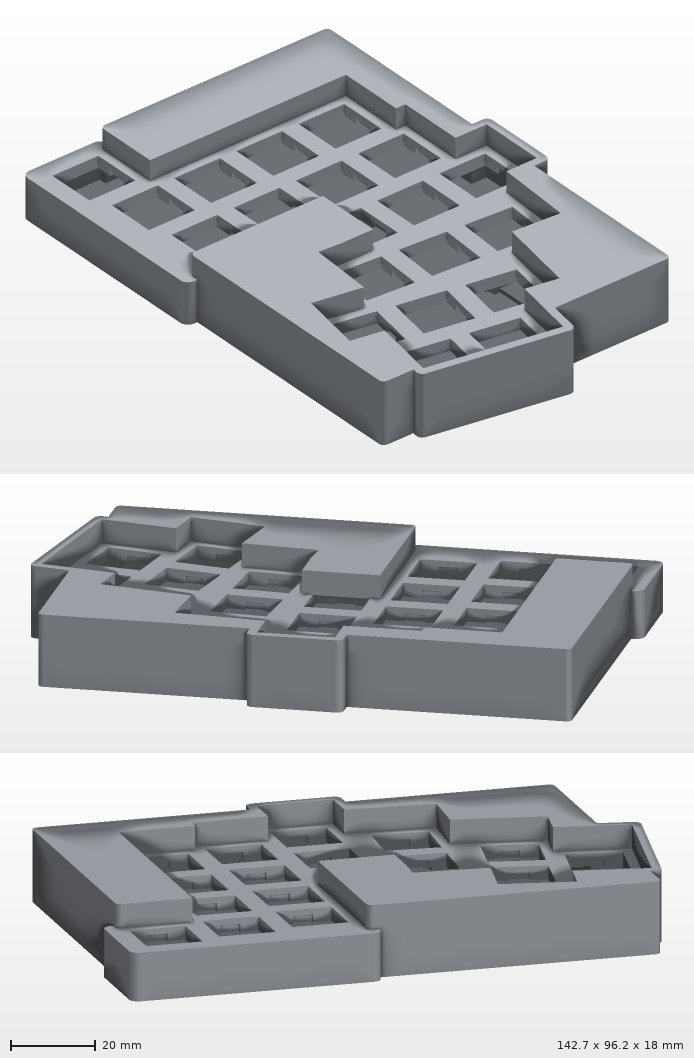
import cadquery as cq
import math

key_pitch = 19.0
key_hole = 14.0
small_stagger = 0.15 * key_pitch
large_stagger = 0.5 * key_pitch

thumb_wall = 2.7
frame_wall = 2.3

ring_centre = (89.6, 55.2)
ring_tilt = 4
little_centre = (108.9, 38.4)
little_tilt = 10

base_height = 3.0
plate_top = 12.0
plate_thickness = 3.4
plate_bottom = plate_top - plate_thickness
block_top = 18.0

block_left = 2.9
block_right = 132.6
block_front = 3.3
block_back = 91.2
block_wall = 2.0
tab_back = 43.8

block_radius = 1.4
frame_radius = 1.7
thumb_radius = 2.3

clip_width = 5.0
clip_depth = 1.0
clip_lip = 1.5

pocket_left = 98.2
pocket_front = 62.8
pocket_width = 18.0
pocket_back = pocket_front + pocket_width
pocket_depth = 1.1
groove_width = 4.0
groove_depth = 1.1
corner_relief = 2.1

middle_left = thumb_wall + 3 * key_pitch
middle_right = thumb_wall + 4 * key_pitch
thumb_back = thumb_wall + key_pitch


def box(x_range, y_range, z_range):
    """Box between pairs of X, Y and Z limits."""
    (x0, x1), (y0, y1), (z0, z1) = x_range, y_range, z_range
    return cq.Workplane("XY", origin=(x0, y0, z0)).box(x1 - x0, y1 - y0, z1 - z0, centered=False)


def joined(shapes):
    total = shapes[0]
    for shape in shapes[1:]:
        total = total.union(shape)
    return total.clean()


def offset_point(point, tilt, across, along):
    """Point moved across and along a column with the given tilt."""
    angle = math.radians(tilt)
    return (
        point[0] + across * math.cos(angle) + along * math.sin(angle),
        point[1] - across * math.sin(angle) + along * math.cos(angle),
    )


def key_column(start, tilt, steps):
    """Keys of one column, given as numbers of pitches behind its start point."""
    return [(*offset_point(start, tilt, 0, step * key_pitch), tilt) for step in steps]


def cell_corner(key, side, end):
    """Corner of a key cell: side is -1 for left and 1 for right, end is -1 for front and 1 for back."""
    x, y, tilt = key
    return offset_point((x, y), tilt, side * key_pitch / 2, end * key_pitch / 2)


thumb_x = thumb_wall + key_pitch / 2
thumb_y = thumb_wall + key_pitch / 2
pinky_y = thumb_y + small_stagger
index_y = pinky_y + small_stagger
middle_y = index_y + large_stagger
outer_centre = offset_point(little_centre, little_tilt, key_pitch, large_stagger)

thumb_keys = key_column((thumb_x, thumb_y), 0, [0])
pinky_keys = key_column((thumb_x + key_pitch, pinky_y), 0, [0, 1, 2, 3])
index_keys = key_column((thumb_x + 2 * key_pitch, index_y), 0, [0, 1, 2, 3])
middle_keys = key_column((thumb_x + 3 * key_pitch, middle_y), 0, [1, 2, 3])
ring_keys = key_column(ring_centre, ring_tilt, [-1, 0, 1])
little_keys = key_column(little_centre, little_tilt, [-1, 0, 1])
outer_keys = key_column(outer_centre, little_tilt, [-1, 0])
all_keys = thumb_keys + pinky_keys + index_keys + middle_keys + ring_keys + little_keys + outer_keys


def key_box(key, size_x, size_y, z_range):
    """Box centred on a key and turned with it."""
    x, y, tilt = key
    shape = box((-size_x / 2, size_x / 2), (-size_y / 2, size_y / 2), z_range)
    return shape.rotate((0, 0, 0), (0, 0, 1), -tilt).translate((x, y, 0))


def cells(keys, z_range):
    return [key_box(key, key_pitch, key_pitch, z_range) for key in keys]


def wedge(column, overlap, end_points, z_range):
    """Fills the gap on the left of a tilted column, from its back edge run on to the left."""
    back_left = cell_corner(column[-1], -1, 1)
    run_on = offset_point(back_left, column[-1][2], -overlap, 0)
    outline = cq.Workplane("XY", origin=(0, 0, z_range[0])).polyline([run_on, back_left, *end_points])
    return outline.close().extrude(z_range[1] - z_range[0])


def key_field(z_range):
    """All key cells, with the gaps between the tilted columns filled."""
    ring_end = [cell_corner(ring_keys[0], -1, -1)]
    little_end = [cell_corner(little_keys[0], -1, 1), cell_corner(ring_keys[0], 1, -1)]
    ring_wedge = wedge(ring_keys, key_pitch / 4, ring_end, z_range)
    little_wedge = wedge(little_keys, key_pitch / 2, little_end, z_range)
    return joined(cells(all_keys, z_range) + [ring_wedge, little_wedge])


def cavity(z_range):
    """Hollow inside the housing: the key field and the inside of the block."""
    inside_block = box(
        (block_left + block_wall, block_right - block_wall),
        (block_front + block_wall, block_back - block_wall),
        z_range,
    )
    return key_field(z_range).union(inside_block)


def housing_outside():
    block_outline = [
        (block_left, thumb_back),
        (middle_left, thumb_back),
        (middle_left, block_front),
        (block_right, block_front),
        (block_right, block_back),
        (block_left, block_back),
    ]
    block = cq.Workplane("XY").polyline(block_outline).close().extrude(block_top)
    block = block.edges("|Z").fillet(block_radius)
    thumb_corner = box((0, middle_left + thumb_wall), (0, thumb_back + thumb_wall), (0, plate_top))
    thumb_corner = thumb_corner.edges("|Z").fillet(thumb_radius)
    frame_size = key_pitch + 2 * frame_wall
    frames = [
        key_box(key, frame_size, frame_size, (0, block_top)).edges("|Z").fillet(frame_radius)
        for key in [middle_keys[-1], *outer_keys]
    ]
    return joined([block, thumb_corner, *frames])


def plate_recess():
    """Opening above the key plate, with the tab left standing over the middle column."""
    z_range = (plate_top, block_top)
    tab = box((middle_left, middle_right), (block_front, tab_back), z_range)
    return joined([key_field(z_range).cut(tab), *cells(ring_keys, z_range)])


def key_opening(key):
    """Key hole through the plate with its two clip notches."""
    hole = key_box(key, key_hole, key_hole, (plate_bottom, plate_top))
    notch_top = plate_top - clip_lip
    notches = key_box(key, clip_width, key_hole + 2 * clip_depth, (plate_bottom, notch_top))
    return hole.union(notches)


housing = housing_outside().cut(plate_recess()).cut(cavity((0, plate_bottom)))
for key in all_keys:
    housing = housing.cut(key_opening(key))


def controller_pocket():
    x_range = (pocket_left, block_right - block_wall)
    pocket_floor = base_height - pocket_depth
    pocket = box(x_range, (pocket_front, pocket_back), (pocket_floor, base_height))
    groove_z = (pocket_floor - groove_depth, pocket_floor)
    front_groove = box(x_range, (pocket_front, pocket_front + groove_width), groove_z)
    back_groove = box(x_range, (pocket_back - groove_width, pocket_back), groove_z)
    reliefs = (
        cq.Workplane("XY", origin=(0, 0, pocket_floor))
        .pushPoints([(pocket_left, pocket_front), (pocket_left, pocket_back)])
        .circle(corner_relief / 2)
        .extrude(pocket_depth)
    )
    return joined([pocket, front_groove, back_groove, reliefs])


base = cavity((0, base_height)).cut(controller_pocket())

result = cq.Compound.makeCompound([housing.solids().val(), base.solids().val()])